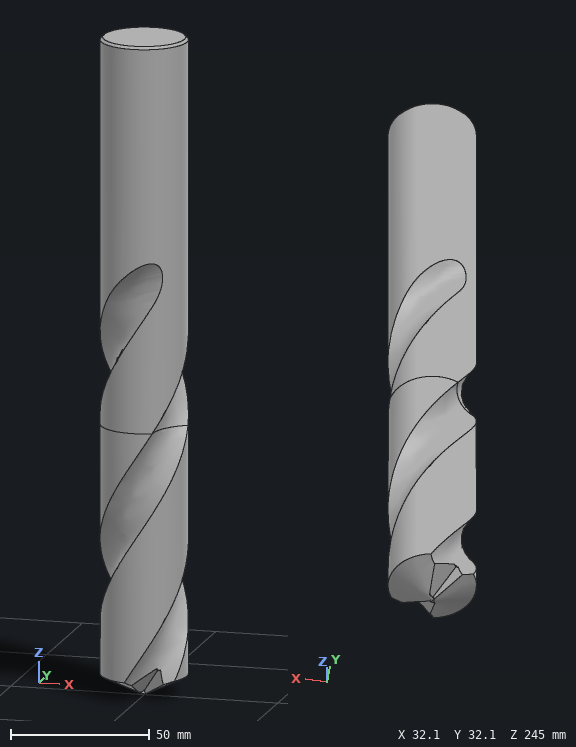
import cadquery as cq
import math

ORIGIN = cq.Vector(0, 0, 0)
UP = cq.Vector(0, 0, 1)

drill_length = 245.0
radius = 16.05
joint_height = 101.0
cone_height = 7.8
shank_chamfer = 1.0

flute_count = 2
flute_pitch = 154.4
flute_x_height = 36.5
flute_half_angle = 35.0
flute_floor_radius = 10.5
flute_start = -2.5
flute_end = 148.2
runout_rise = 24.5
runout_slope = 1.15

gash_azimuth = -43.0
gash_root_height = 1.5
gash_root_slope = 46.0
gash_length = 14.7
gash_wall_lean = 12.0
gash_size = 14.7

half_chord = radius * math.sin(math.radians(flute_half_angle))
sagitta = radius * math.cos(math.radians(flute_half_angle)) - flute_floor_radius
flute_radius = (half_chord**2 + sagitta**2) / (2 * sagitta)
flute_offset = flute_floor_radius + flute_radius


def flute_azimuth(height):
    return 360.0 * (height - flute_x_height) / flute_pitch


def flute_cutters():
    """One +X flute: its helical length and the straight runout above it."""
    helix_rise = flute_end - flute_start
    twist = flute_azimuth(flute_end) - flute_azimuth(flute_start)
    section = (
        cq.Workplane("XY")
        .center(flute_offset, 0)
        .circle(flute_radius)
        .wires()
        .val()
    )
    helical = cq.Solid.extrudeLinearWithRotation(
        section, [], ORIGIN, cq.Vector(0, 0, helix_rise), twist
    )
    helical = helical.rotate(
        ORIGIN, UP, flute_azimuth(flute_start)
    ).translate(cq.Vector(0, 0, flute_start))
    travel = cq.Vector(0, runout_slope, 1) * runout_rise
    runout = cq.Solid.extrudeLinear(section, [], travel)
    runout = runout.rotate(
        ORIGIN, UP, flute_azimuth(flute_end)
    ).translate(cq.Vector(0, 0, flute_end))
    return [helical, runout]


def gash_cutter():
    """A V notch with one upright rake face, its root rising outward from the axis."""
    wall_lean_run = gash_size * math.tan(math.radians(gash_wall_lean))
    rise = math.radians(gash_root_slope)
    root_plane = cq.Plane(
        origin=(0, 0, gash_root_height),
        xDir=(math.sin(rise), 0, -math.cos(rise)),
        normal=(math.cos(rise), 0, math.sin(rise)),
    )
    notch = (
        cq.Workplane(root_plane)
        .polyline([(0, 0), (gash_size, 0), (gash_size, -gash_size), (wall_lean_run, -gash_size)])
        .close()
        .extrude(gash_length)
    )
    return notch.rotate(ORIGIN, UP, gash_azimuth).val()


def cut_all(body, cutters):
    """Cut every cutter at equal spacing around the axis."""
    for index in range(flute_count):
        for cutter in cutters:
            turned = cutter.rotate(
                ORIGIN, UP, index * 360.0 / flute_count
            )
            body = body.cut(turned)
    return body


def make_shank():
    blank = (
        cq.Workplane("XY")
        .workplane(offset=joint_height)
        .circle(radius)
        .extrude(drill_length - joint_height)
        .faces(">Z")
        .chamfer(shank_chamfer)
    )
    return cut_all(blank, flute_cutters())


def make_cutting_tip():
    blank = (
        cq.Workplane("XZ")
        .polyline([(0, 0), (radius, cone_height), (radius, joint_height), (0, joint_height)])
        .close()
        .revolve(360, (0, 0), (0, 1))
    )
    helical, _ = flute_cutters()
    return cut_all(blank, [helical, gash_cutter()])


shank = make_shank()
cutting_tip = make_cutting_tip()
result = cq.Compound.makeCompound([*shank.vals(), *cutting_tip.vals()])